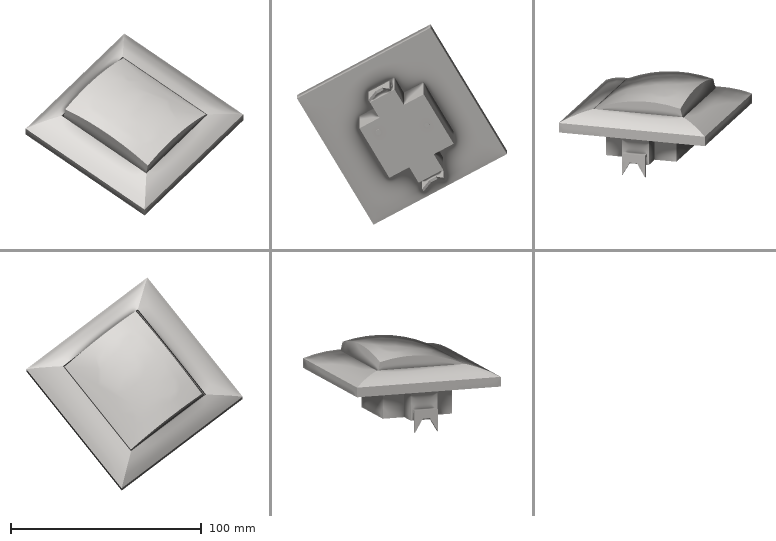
import cadquery as cq

FRAME_X = 81.5
FRAME_Y = 80.5
FRAME_EDGE_HEIGHT = 5.2
FRAME_HEIGHT = 11.0
OPENING_X = 58.2
OPENING_Y = 49.8
OPENING_FLOOR_Z = 8.0
BORDER_BULGE = 0.75

ROCKER_X = 56.6
ROCKER_Y = 49.0
ROCKER_FRONT_TOP_Y = -22.8
ROCKER_BACK_Z = 11.0
ROCKER_CORNER_Z = 15.2
ROCKER_FRONT_CROWN_Z = 19.0
ROCKER_SIDE_CROWN_Y = -3.6
ROCKER_SIDE_CROWN_Z = 17.4
DOME_POINTS_YZ = [(-10.0, 20.16), (9.8, 17.4)]

HOUSING_CENTER_Y = 2.75
HOUSING_X = 51.8
HOUSING_Y = 38.8
HOUSING_ARM_X = 31.9
HOUSING_ARM_Y = 14.8
HOUSING_DEPTH = 18.0

BOSSES = [(0.15, 15.1, 2.5), (9.1, -9.1, 3.0)]
BOSS_HEIGHT = 0.2

CLAW_SHEET = 1.5
CLAW_OUTER_X = 29.45
CLAW_WIDTH = 12.8
CLAW_TOP_Z = -12.0
CLAW_TIP_Z = -24.0
NOTCH_TOP_Z = -16.5
NOTCH_TOP_WIDTH = 3.9


def centered_box(size_x, size_y, bottom_z, top_z, center_y=0.0):
    """Box centred on X = 0 and Y = center_y between two heights."""
    box = cq.Workplane("XY").box(size_x, size_y, top_z - bottom_z, centered=(True, True, False))
    return box.translate((0, center_y, bottom_z))


def border_profile(plane, outer_width, inner_width, length):
    """Ridge with a flat top and arched flanks, extruded symmetrically along the plane normal."""
    outer = outer_width / 2
    inner = inner_width / 2
    middle = (outer + inner) / 2
    middle_z = (FRAME_EDGE_HEIGHT + FRAME_HEIGHT) / 2 + BORDER_BULGE
    return (
        cq.Workplane(plane)
        .moveTo(-outer, 0)
        .lineTo(outer, 0)
        .lineTo(outer, FRAME_EDGE_HEIGHT)
        .threePointArc((middle, middle_z), (inner, FRAME_HEIGHT))
        .lineTo(-inner, FRAME_HEIGHT)
        .threePointArc((-middle, middle_z), (-outer, FRAME_EDGE_HEIGHT))
        .close()
        .extrude(length / 2, both=True)
    )


def make_frame():
    """The two ridges crossed, so that their flanks meet in mitres, with the opening recessed."""
    along_y = border_profile("XZ", FRAME_X, OPENING_X, FRAME_Y)
    along_x = border_profile("YZ", FRAME_Y, OPENING_Y, FRAME_X)
    recess = centered_box(OPENING_X, OPENING_Y, OPENING_FLOOR_Z, FRAME_HEIGHT)
    return along_y.intersect(along_x).cut(recess)


def make_rocker():
    """Solid bounded by a flat base, three flat walls, a warped front and a domed top."""
    half_x = ROCKER_X / 2
    back_y = ROCKER_Y / 2
    front_y = -back_y

    def side_edges(x):
        front_low = cq.Vector(x, front_y, OPENING_FLOOR_Z)
        front_high = cq.Vector(x, ROCKER_FRONT_TOP_Y, ROCKER_CORNER_Z)
        crown = cq.Vector(x, ROCKER_SIDE_CROWN_Y, ROCKER_SIDE_CROWN_Z)
        back_high = cq.Vector(x, back_y, ROCKER_BACK_Z)
        back_low = cq.Vector(x, back_y, OPENING_FLOOR_Z)
        return {
            "front": cq.Edge.makeLine(front_low, front_high),
            "top": cq.Edge.makeThreePointArc(front_high, crown, back_high),
            "back": cq.Edge.makeLine(back_high, back_low),
            "base": cq.Edge.makeLine(back_low, front_low),
        }

    def cross_edge(y, z):
        return cq.Edge.makeLine(cq.Vector(-half_x, y, z), cq.Vector(half_x, y, z))

    left = side_edges(-half_x)
    right = side_edges(half_x)
    front_low = cross_edge(front_y, OPENING_FLOOR_Z)
    back_low = cross_edge(back_y, OPENING_FLOOR_Z)
    back_high = cross_edge(back_y, ROCKER_BACK_Z)
    front_high = cq.Edge.makeThreePointArc(
        cq.Vector(-half_x, ROCKER_FRONT_TOP_Y, ROCKER_CORNER_Z),
        cq.Vector(0, ROCKER_FRONT_TOP_Y, ROCKER_FRONT_CROWN_Z),
        cq.Vector(half_x, ROCKER_FRONT_TOP_Y, ROCKER_CORNER_Z),
    )

    dome_points = [cq.Vector(0, y, z) for y, z in DOME_POINTS_YZ]
    faces = [
        cq.Face.makeFromWires(cq.Wire.assembleEdges(list(left.values()))),
        cq.Face.makeFromWires(cq.Wire.assembleEdges(list(right.values()))),
        cq.Face.makeFromWires(cq.Wire.assembleEdges([front_low, right["base"], back_low, left["base"]])),
        cq.Face.makeFromWires(cq.Wire.assembleEdges([back_low, right["back"], back_high, left["back"]])),
        cq.Face.makeRuledSurface(front_low, front_high),
        cq.Face.makeNSidedSurface([front_high, right["top"], back_high, left["top"]], dome_points),
    ]
    return cq.Workplane(cq.Solid.makeSolid(cq.Shell.makeShell(faces)))


def make_housing():
    """Cross-shaped block with small round bosses on its underside."""
    arm_along_x = centered_box(HOUSING_X, HOUSING_ARM_Y, -HOUSING_DEPTH, 0, HOUSING_CENTER_Y)
    arm_along_y = centered_box(HOUSING_ARM_X, HOUSING_Y, -HOUSING_DEPTH, 0, HOUSING_CENTER_Y)
    housing = arm_along_x.union(arm_along_y)
    for x, y, diameter in BOSSES:
        boss = cq.Workplane("XY", origin=(x, y, -HOUSING_DEPTH)).circle(diameter / 2).extrude(-BOSS_HEIGHT)
        housing = housing.union(boss)
    return housing


def make_claws():
    """Two bent strips, each ending in two points either side of a tapered notch."""
    inner_x = CLAW_OUTER_X - CLAW_SHEET
    outside = centered_box(2 * CLAW_OUTER_X, CLAW_WIDTH, CLAW_TIP_Z, CLAW_TOP_Z, HOUSING_CENTER_Y)
    inside = centered_box(2 * inner_x, CLAW_WIDTH, CLAW_TIP_Z, CLAW_TOP_Z - CLAW_SHEET, HOUSING_CENTER_Y)
    notch = (
        cq.Workplane("YZ", origin=(0, HOUSING_CENTER_Y, 0))
        .moveTo(-CLAW_WIDTH / 2, CLAW_TIP_Z)
        .lineTo(-NOTCH_TOP_WIDTH / 2, NOTCH_TOP_Z)
        .lineTo(NOTCH_TOP_WIDTH / 2, NOTCH_TOP_Z)
        .lineTo(CLAW_WIDTH / 2, CLAW_TIP_Z)
        .close()
        .extrude(CLAW_OUTER_X, both=True)
    )
    return outside.cut(inside).cut(notch)


result = make_frame().union(make_rocker()).union(make_housing()).union(make_claws())